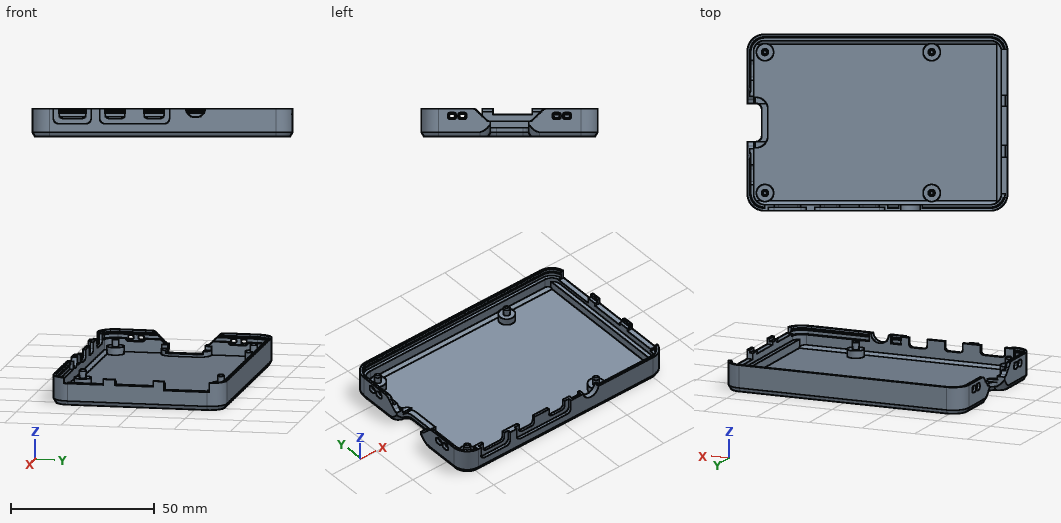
import cadquery as cq
import math

LENGTH = 90.6
WIDTH = 61.4
HEIGHT = 9.7
CORNER_R = 6.0
BASE_CHAMFER = 1.5
BASE_INSET = 0.9
FLOOR_Z = 2.2

WALL = 2.2
LIP = 0.9
RIDGE = 0.4
LEDGE_Z = 6.9
RIDGE_START_Z = 8.15
RIDGE_LOW_Z = 8.7
RIDGE_HIGH_Z = 9.1
FLOOR_SLOPE = 1.3
FLOOR_SLOPE_RISE = 1.1

BOSS_D = 6.0
PIN_D = 2.4
PIN_CHAMFER = 0.5
BOSS_Z = 4.8
PIN_Z = 7.8
BOSS_FIRST_X = -39.1
BOSS_PITCH_X = 58.0
BOSS_PITCH_Y = 49.0

THICK_STRETCHES = [(-39.2, 3.5), (7.3, 15.6)]

RECESSES = [(-38.0, -24.8), (-21.8, 2.45)]
RECESS_DEPTH = 1.2
RECESS_Z = 4.4
RECESS_R = 1.8
PORTS = [(-36.0, -26.6), (-19.9, -13.05), (-6.4, 0.5)]
PORT_Z = 6.25
PORT_R = 1.4

JACK_X = 11.5
JACK_Z = 10.0
JACK_R = 3.35

GAP_Y = (-26.1, 25.55)
GAP_INNER_Y = -24.8
GAP_Z = 7.7
GAP_DEEP_Z = 6.5
SHELF_WIDTH = 1.6
SHELF_Z = 5.3
TABS = [(-12.05, -7.9), (5.7, 9.5)]
TAB_STEP_Z = 8.7
TAB_PLATE = 0.9

NOTCH_DEPTH = 5.0
NOTCH_HALF = 6.6
NOTCH_R = 2.0
NOTCH_RIM = 2.2
NOTCH_SIDE_Z = 5.3
NOTCH_RIM_Z = 4.0
NOTCH_POST = 0.6
NOTCH_END_Z = 3.1
NOTCH_FLAT_HALF = 7.5
NOTCH_BEND_R = 2.1
NOTCH_FOOT_R = 3.8

WINDOW_Y = 18.2
WINDOW_PITCH = 3.6
WINDOW_Z = 7.2
WINDOW_WIDTH = 3.1
WINDOW_HEIGHT = 2.45
WINDOW_R = 1.1
WINDOW_TAPER = 33.0
WINDOW_POCKET_WIDTH = 7.0
WINDOW_POCKET_Z = 5.9
WINDOW_POCKET_R = 1.3

LEFT = -LENGTH / 2
RIGHT = LENGTH / 2
FRONT = -WIDTH / 2
BACK = WIDTH / 2
ABOVE = HEIGHT + 1.8


def box(x, y, z):
    """Box spanning three (low, high) ranges."""
    size = [high - low for low, high in (x, y, z)]
    return cq.Workplane("XY").box(*size, centered=False).translate((x[0], y[0], z[0]))


def rounded_block(center_x, length, width, radius, z_low, z_high, taper=0.0):
    """Round-cornered block centred on Y = 0; positive taper narrows it upwards."""
    return (
        cq.Workplane("XY", origin=(center_x, 0, z_low))
        .sketch()
        .rect(length, width)
        .vertices()
        .fillet(radius)
        .finalize()
        .extrude(z_high - z_low, taper=taper)
    )


def inset_block(inset, z_low, z_high, taper=0.0):
    """Block following the tray outline at an inset."""
    length = LENGTH - 2 * inset
    width = WIDTH - 2 * inset
    return rounded_block(0, length, width, CORNER_R - inset, z_low, z_high, taper)


def notch_block(growth, z_low, z_high, taper=0.0):
    """Block with the plan shape of the card notch, grown on every side."""
    length = 2 * (NOTCH_DEPTH + growth)
    width = 2 * (NOTCH_HALF + growth)
    return rounded_block(LEFT, length, width, NOTCH_R + growth, z_low, z_high, taper)


def front_opening(x, z_floor, radius, y_low, y_high):
    """Cutter for an opening in the front wall: open at the top, rounded below."""
    return box(x, (y_low, y_high), (z_floor, ABOVE)).edges("|Y and <Z").fillet(radius)


def make_shell():
    """Outer body with the card notch and a sloped band round its foot."""
    angle = math.degrees(math.atan(BASE_INSET / BASE_CHAMFER))
    shell = inset_block(BASE_INSET, 0, BASE_CHAMFER, -angle)
    shell = shell.union(inset_block(0, BASE_CHAMFER, HEIGHT))
    shell = shell.cut(notch_block(BASE_INSET, 0, BASE_CHAMFER, angle))
    shell = shell.cut(notch_block(0, 0, HEIGHT))
    for side in (-1, 1):
        shell = shell.cut(notch_foot_cutter(side))
    return shell


def notch_foot_cutter(side):
    """Carries the base chamfer round one notch mouth corner as a cone."""
    x = LEFT + NOTCH_FOOT_R
    y = side * (NOTCH_HALF + NOTCH_FOOT_R)
    corner_y = side * NOTCH_HALF
    block = box((LEFT, x), (min(y, corner_y), max(y, corner_y)), (0, HEIGHT))
    low_r = NOTCH_FOOT_R - BASE_INSET
    high_r = low_r + HEIGHT * BASE_INSET / BASE_CHAMFER
    cone = cq.Solid.makeCone(low_r, high_r, HEIGHT).translate(cq.Vector(x, y, 0))
    return block.cut(cq.Workplane(cone))


def make_cavity():
    """Main hollow, leaving the floor slopes, the shelf and the notch rim."""
    lower = inset_block(WALL, FLOOR_Z, HEIGHT)
    for side in (-1, 1):
        y = side * (BACK - WALL)
        slope = (
            cq.Workplane("YZ")
            .polyline([(y, FLOOR_Z), (y - side * FLOOR_SLOPE, FLOOR_Z), (y, FLOOR_Z + FLOOR_SLOPE_RISE)])
            .close()
            .extrude(LENGTH / 2, both=True)
        )
        lower = lower.cut(slope)
    lower = lower.cut(box((RIGHT - WALL - SHELF_WIDTH, RIGHT), (FRONT, BACK), (0, SHELF_Z)))
    rim_half = NOTCH_HALF + NOTCH_RIM
    post_x = LEFT + WALL + NOTCH_POST
    lower = lower.cut(box((LEFT, post_x), (-rim_half, rim_half), (0, NOTCH_SIDE_Z)))
    return lower.cut(notch_block(NOTCH_RIM, 0, NOTCH_RIM_Z))


def make_lip_cavity():
    """Wider hollow inside the lip, waisted to leave the snap ridge."""
    under_angle = math.degrees(math.atan(RIDGE / (RIDGE_LOW_Z - RIDGE_START_Z)))
    lead_angle = math.degrees(math.atan(RIDGE / (HEIGHT - RIDGE_HIGH_Z)))
    cavity = inset_block(LIP, LEDGE_Z, RIDGE_START_Z)
    cavity = cavity.union(inset_block(LIP, RIDGE_START_Z, RIDGE_LOW_Z, under_angle))
    cavity = cavity.union(inset_block(LIP + RIDGE, RIDGE_LOW_Z, RIDGE_HIGH_Z))
    cavity = cavity.union(inset_block(LIP + RIDGE, RIDGE_HIGH_Z, HEIGHT, -lead_angle))
    for x in THICK_STRETCHES:
        cavity = cavity.cut(box(x, (FRONT, FRONT + WALL), (0, HEIGHT)))
    return cavity.cut(box((RIGHT - WALL, RIGHT), (GAP_INNER_Y, GAP_Y[1]), (0, HEIGHT)))


def make_gap_cutter():
    """Lowers the right-hand wall, leaving the two stepped tabs standing."""
    x = (RIGHT - WALL, RIGHT)
    cutter = box(x, GAP_Y, (GAP_Z, ABOVE))
    cutter = cutter.union(box(x, (TABS[1][1], GAP_Y[1]), (GAP_DEEP_Z, ABOVE)))
    for y in TABS:
        cutter = cutter.cut(box(x, y, (0, TAB_STEP_Z)))
        cutter = cutter.cut(box((RIGHT - TAB_PLATE, RIGHT), y, (0, HEIGHT)))
    return cutter


def make_notch_mouth():
    """Flared opening in the left-hand wall above the card notch.

    A wide cap above the wall gives the flare re-entrant edges, so that rounding
    them leaves rounded shoulders on the wall.
    """
    top_half = NOTCH_FLAT_HALF + HEIGHT - NOTCH_SIDE_Z
    cap = 3 * NOTCH_BEND_R
    cap_half = top_half + cap
    cap_z = HEIGHT + cap
    mouth = (
        cq.Workplane("YZ", origin=(LEFT, 0, 0))
        .polyline([
            (-NOTCH_FLAT_HALF, NOTCH_SIDE_Z),
            (NOTCH_FLAT_HALF, NOTCH_SIDE_Z),
            (top_half, HEIGHT),
            (cap_half, HEIGHT),
            (cap_half, cap_z),
            (-cap_half, cap_z),
            (-cap_half, HEIGHT),
            (-top_half, HEIGHT),
        ])
        .close()
        .extrude(WALL)
    )
    mouth = mouth.edges("|X").fillet(NOTCH_BEND_R)
    inner_x = LEFT + NOTCH_DEPTH + NOTCH_RIM
    passage = box((LEFT, inner_x), (-NOTCH_HALF, NOTCH_HALF), (NOTCH_END_Z, ABOVE))
    return mouth.union(passage)


def make_windows():
    """Tapered window pairs, each opening into a shared pocket in the thick wall."""
    cutter = cq.Workplane("XY")
    for side in (-1, 1):
        y = side * WINDOW_Y
        half = WINDOW_POCKET_WIDTH / 2
        pocket = box((LEFT + LIP, LEFT + WALL), (y - half, y + half), (WINDOW_POCKET_Z, RIDGE_START_Z))
        cutter = cutter.union(pocket.edges("|X and <Z").fillet(WINDOW_POCKET_R))
        for step in (-0.5, 0.5):
            window = (
                cq.Workplane("YZ", origin=(LEFT, y + step * WINDOW_PITCH, WINDOW_Z))
                .sketch()
                .rect(WINDOW_WIDTH, WINDOW_HEIGHT)
                .vertices()
                .fillet(WINDOW_R)
                .finalize()
                .extrude(LIP, taper=WINDOW_TAPER)
            )
            cutter = cutter.union(window)
    return cutter


def make_standoff(x, y):
    """Boss with a chamfered locating pin, rooted inside the floor."""
    root_z = FLOOR_Z / 2
    base = cq.Workplane("XY", origin=(x, y, root_z))
    boss = base.circle(BOSS_D / 2).extrude(BOSS_Z - root_z)
    pin = base.circle(PIN_D / 2).extrude(PIN_Z - root_z).faces(">Z").chamfer(PIN_CHAMFER)
    return boss.union(pin)


result = make_shell().cut(make_cavity()).cut(make_lip_cavity())

for column in (0, 1):
    for side in (-0.5, 0.5):
        standoff = make_standoff(BOSS_FIRST_X + column * BOSS_PITCH_X, side * BOSS_PITCH_Y)
        result = result.union(standoff)

for recess in RECESSES:
    result = result.cut(front_opening(recess, RECESS_Z, RECESS_R, FRONT, FRONT + RECESS_DEPTH))
for port in PORTS:
    result = result.cut(front_opening(port, PORT_Z, PORT_R, FRONT, FRONT + WALL))

jack = cq.Workplane("XZ", origin=(JACK_X, FRONT, JACK_Z)).circle(JACK_R).extrude(-WALL)
result = result.cut(jack)

result = result.cut(make_gap_cutter())
result = result.cut(make_notch_mouth())
result = result.cut(make_windows())